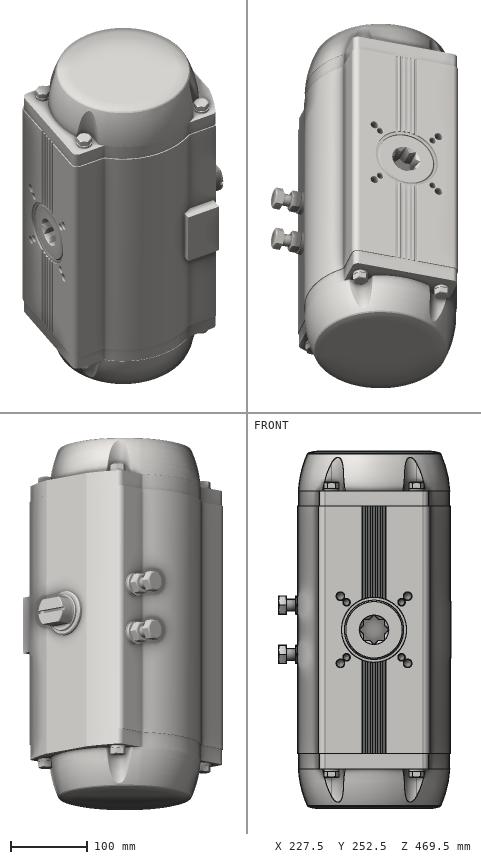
import cadquery as cq
import math

total_length = 469.5
half_length = total_length / 2

barrel_radius = 100.5
mount_face_y = -114.0
crown_flat_y = 108.5
crown_radius = 188.0
crown_center_y = -75.5
lower_half_width = 73.3
upper_half_width = 86.0
lower_corner_fillet = 9.0
upper_corner_fillet = 7.5
barrel_blend_radius = 6.0
housing_half_length = 162.5

flange_inset = 1.5
flange_outer_z = 182.5
dome_base_radius = 99.5
dome_mid_radius = 95.5
dome_mid_z = 209.5
dome_rim_radius = 88.0
dome_rim_z = 231.0
face_round_radius = 86.5
face_round_z = 232.5
dome_face_radius = 73.0
pocket_radius = 16.0
pocket_mouth_fillet = 4.5
pocket_reach = 56.5

upper_screw_x = 67.5
upper_screw_y = 80.0
lower_screw_x = 56.0
lower_screw_y = -89.5
cap_screw_diameter = 20.0
cap_screw_face_diameter = 16.5
cap_screw_collar_height = 3.5
cap_screw_head_height = 8.0

shaft_top_y = 138.5
tip_radius = 22.5
tip_flat_half_width = 16.5
tip_chamfer = 1.0
tip_flare_y = 120.0
tip_slot_width = 4.0
tip_slot_depth = 4.5
stem_radius = 24.0
stem_top_y = 117.0
stem_chamfer = 1.0
washer_radius = 29.0
washer_top_y = 113.5
washer_chamfer = 1.5
journal_radius = 39.0
journal_length = 19.0
journal_chamfer = 2.0
socket_square = 27.5
socket_depth = 28.0
socket_mouth_radius = 19.3
socket_mouth_depth = 4.0

spigot_radius = 42.5
spigot_depth = 2.5
groove_count = 5
groove_pitch = 6.5
groove_mouth_width = 4.5
groove_floor_width = 3.0
groove_depth = 2.0
outer_hole_offset = 44.0
outer_hole_diameter = 10.5
outer_hole_mouth_diameter = 11.5
inner_hole_offset = 36.0
inner_hole_diameter = 8.5
inner_hole_mouth_diameter = 10.0
mount_hole_depth = 14.0
drill_point_angle = 118.0

pad_outer_x = 101.5
pad_low_y = 41.5
pad_high_y = 88.0
pad_half_height = 37.0

stop_y = 68.0
stop_z = 32.5
stop_end_x = -126.0
stop_head_height = 11.0
stop_shank_diameter = 16.0
stop_inner_x = -56.5
stop_hex_diameter = 28.0
stop_hex_face_diameter = 22.5
stop_nut_outer_x = -103.5
stop_nut_inner_x = -91.0
stop_boss_diameter = 30.0
stop_boss_foot_diameter = 32.0
stop_boss_foot_height = 1.5

CHAMFER_SLOPE = math.tan(math.radians(30))


def cylinder_along_y(radius, y_start, y_end):
    """Cylinder on the shaft axis between two Y positions."""
    return cq.Workplane("XZ", origin=(0, y_end, 0)).circle(radius).extrude(y_end - y_start)


def cylinder_along_x(diameter, x_start, x_end, y, z):
    """Cylinder parallel to X between two X positions."""
    return cq.Workplane("YZ", origin=(x_start, y, z)).circle(diameter / 2).extrude(x_end - x_start)


def hexagon_head(corner_diameter, face_diameter, height, both_ends=False):
    """Hexagon standing on the XY plane, with 30-degree corner chamfers on top or on both ends."""
    corner_radius = corner_diameter / 2
    face_radius = face_diameter / 2
    bevel = (corner_radius - face_radius) * CHAMFER_SLOPE
    profile = cq.Workplane("XZ").moveTo(0, 0)
    if both_ends:
        profile = profile.lineTo(face_radius, 0).lineTo(corner_radius, bevel)
    else:
        profile = profile.lineTo(corner_radius, 0)
    turned = (
        profile.lineTo(corner_radius, height - bevel)
        .lineTo(face_radius, height)
        .lineTo(0, height)
        .close()
        .revolve(360, (0, 0), (0, 1))
    )
    return cq.Workplane("XY").polygon(6, corner_diameter).extrude(height).intersect(turned)


def body_prism(height, inset=0.0):
    """Body cross-section extruded up from the XY plane; the inset shrinks all of it but the crown."""
    lower_x = lower_half_width - inset
    upper_x = upper_half_width - inset
    bottom_y = mount_face_y + inset
    barrel = cq.Workplane("XY").circle(barrel_radius - inset).extrude(height)
    lower_block = (
        cq.Workplane("XY", origin=(0, bottom_y / 2, 0))
        .rect(2 * lower_x, -bottom_y)
        .extrude(height)
        .edges("|Z and <Y")
        .fillet(lower_corner_fillet - inset)
    )
    crown = cq.Workplane("XY", origin=(0, crown_center_y, 0)).circle(crown_radius).extrude(height)
    shoulders = cq.selectors.BoxSelector(
        (-upper_half_width, crown_flat_y / 2, 0),
        (upper_half_width, crown_flat_y - upper_corner_fillet, height),
    )
    upper_block = (
        cq.Workplane("XY", origin=(0, crown_flat_y / 2, 0))
        .rect(2 * upper_x, crown_flat_y)
        .extrude(height)
        .intersect(crown)
        .edges("|Z")
        .edges(shoulders)
        .fillet(upper_corner_fillet)
    )
    prism = barrel.union(lower_block).union(upper_block)

    barrel_corners = cq.selectors.BoxSelector(
        (-barrel_radius, mount_face_y + 2 * lower_corner_fillet, 0),
        (barrel_radius, crown_flat_y / 2 + upper_corner_fillet, height),
    )
    return prism.edges("|Z").edges(barrel_corners).fillet(barrel_blend_radius - inset)


def screw_positions():
    """X, Y of the four cap screws on one end."""
    return [
        (side * x, y)
        for side in (-1, 1)
        for x, y in ((upper_screw_x, upper_screw_y), (lower_screw_x, lower_screw_y))
    ]


def make_mount_hole(x, z, diameter, mouth_diameter):
    """Drilled hole cutter: chamfered mouth on the mounting face, pointed end inside."""
    radius = diameter / 2
    mouth_radius = mouth_diameter / 2
    point_length = radius / math.tan(math.radians(drill_point_angle / 2))
    return (
        cq.Workplane("XY", origin=(x, mount_face_y, z))
        .lineTo(mouth_radius, 0)
        .lineTo(radius, mouth_radius - radius)
        .lineTo(radius, mount_hole_depth)
        .lineTo(0, mount_hole_depth + point_length)
        .close()
        .revolve(360, (0, 0), (0, 1))
    )


def make_housing():
    height = 2 * housing_half_length
    body = body_prism(height).translate((0, 0, -housing_half_length))

    pad = cq.Workplane("XY").box(
        pad_outer_x, pad_high_y - pad_low_y, 2 * pad_half_height, centered=(False, False, True)
    )
    body = body.union(pad.translate((0, pad_low_y, 0)))

    for index in range(groove_count):
        x = (index - (groove_count - 1) / 2) * groove_pitch
        groove = (
            cq.Workplane("XY", origin=(x, mount_face_y, -housing_half_length))
            .moveTo(-groove_mouth_width / 2, 0)
            .lineTo(groove_mouth_width / 2, 0)
            .lineTo(groove_floor_width / 2, groove_depth)
            .lineTo(-groove_floor_width / 2, groove_depth)
            .close()
            .extrude(height)
        )
        body = body.cut(groove)

    spigot_floor_y = mount_face_y + spigot_depth
    body = body.cut(cylinder_along_y(spigot_radius, mount_face_y, spigot_floor_y))
    body = body.cut(cylinder_along_y(journal_radius, mount_face_y, spigot_floor_y + journal_length))
    body = body.cut(cylinder_along_y(stem_radius, mount_face_y, crown_flat_y))

    for x_side in (-1, 1):
        for z_side in (-1, 1):
            for offset, diameter, mouth in (
                (outer_hole_offset, outer_hole_diameter, outer_hole_mouth_diameter),
                (inner_hole_offset, inner_hole_diameter, inner_hole_mouth_diameter),
            ):
                body = body.cut(make_mount_hole(x_side * offset, z_side * offset, diameter, mouth))

    boss_foot_x = -upper_half_width - stop_boss_foot_height
    for z in (-stop_z, stop_z):
        body = body.union(
            cylinder_along_x(stop_boss_diameter, stop_nut_inner_x, -upper_half_width, stop_y, z)
        )
        body = body.union(
            cylinder_along_x(stop_boss_foot_diameter, boss_foot_x, -upper_half_width, stop_y, z)
        )
        body = body.cut(
            cylinder_along_x(stop_shank_diameter, stop_nut_inner_x, stop_inner_x, stop_y, z)
        )
    return body


def is_pocket_mouth(edge):
    """True for a vertical edge on the dome base circle, except the seam of the cylinder on the X axis."""
    center = edge.Center()
    on_circle = math.isclose(math.hypot(center.x, center.y), dome_base_radius, abs_tol=0.05)
    return on_circle and abs(center.y) > pocket_mouth_fillet


def make_dome():
    """Domed cover with a pocket beside each cap screw."""
    turned = (
        cq.Workplane("XZ")
        .moveTo(0, flange_outer_z)
        .lineTo(0, half_length)
        .lineTo(dome_face_radius, half_length)
        .tangentArcPoint((face_round_radius, face_round_z), relative=False)
        .lineTo(dome_rim_radius, dome_rim_z)
        .threePointArc((dome_mid_radius, dome_mid_z), (dome_base_radius, flange_outer_z))
        .close()
        .revolve(360, (0, 0), (0, 1))
    )
    dome_height = half_length - flange_outer_z
    outline = cq.Workplane("XY").circle(dome_base_radius).extrude(dome_height)
    for x, y in screw_positions():
        x_side = math.copysign(1, x)
        y_side = math.copysign(1, y)
        pocket = (
            cq.Workplane("XY")
            .center(
                x + x_side * (pocket_reach / 2 - pocket_radius),
                y + y_side * (pocket_reach / 2 - pocket_radius),
            )
            .rect(pocket_reach, pocket_reach)
            .extrude(dome_height)
            .edges(cq.selectors.NearestToPointSelector((0, 0, dome_height / 2)))
            .fillet(pocket_radius)
        )
        outline = outline.cut(pocket)

    mouth_edges = [edge for edge in outline.edges("|Z").vals() if is_pocket_mouth(edge)]
    outline = outline.newObject(mouth_edges).fillet(pocket_mouth_fillet)
    return turned.intersect(outline.translate((0, 0, flange_outer_z)))


def make_end_cap():
    """Upper end cap: flange, dome and the heads of its four screws."""
    flange_height = flange_outer_z - housing_half_length
    flange = body_prism(flange_height, flange_inset).translate((0, 0, housing_half_length))
    cap = flange.union(make_dome())
    head = hexagon_head(cap_screw_diameter, cap_screw_face_diameter, cap_screw_head_height)
    for x, y in screw_positions():
        collar = (
            cq.Workplane("XY", origin=(x, y, flange_outer_z))
            .circle(cap_screw_diameter / 2)
            .extrude(cap_screw_collar_height)
        )
        cap = cap.union(collar)
        cap = cap.union(head.translate((x, y, flange_outer_z + cap_screw_collar_height)))
    return cap


def make_shaft():
    journal_y = mount_face_y + spigot_depth
    shaft = (
        cylinder_along_y(journal_radius, journal_y, journal_y + journal_length)
        .faces("<Y")
        .chamfer(journal_chamfer)
    )
    stem = cylinder_along_y(stem_radius, journal_y, stem_top_y).faces(">Y").chamfer(stem_chamfer)
    washer = cylinder_along_y(washer_radius, crown_flat_y, washer_top_y).faces(">Y").chamfer(washer_chamfer)
    shaft = shaft.union(stem).union(washer)

    flare_radius = stem_radius - stem_chamfer
    tip = (
        cq.Workplane("XY")
        .moveTo(0, stem_top_y)
        .lineTo(flare_radius, stem_top_y)
        .lineTo(tip_radius, tip_flare_y)
        .lineTo(tip_radius, shaft_top_y - tip_chamfer)
        .lineTo(tip_radius - tip_chamfer, shaft_top_y)
        .lineTo(0, shaft_top_y)
        .close()
        .revolve(360, (0, 0), (0, 1))
    )
    tip_length = shaft_top_y - stem_top_y
    tip = tip.intersect(
        cq.Workplane("XY")
        .box(2 * stem_radius, tip_length, 2 * tip_flat_half_width)
        .translate((0, stem_top_y + tip_length / 2, 0))
    )
    slot = cq.Workplane("XY").box(2 * tip_radius, tip_slot_depth, tip_slot_width)
    tip = tip.cut(slot.translate((0, shaft_top_y - tip_slot_depth / 2, 0)))
    shaft = shaft.union(tip)

    for angle in (0, 45):
        square = (
            cq.Workplane("XZ", origin=(0, journal_y + socket_depth, 0))
            .transformed(rotate=(0, 0, angle))
            .rect(socket_square, socket_square)
            .extrude(socket_depth)
        )
        shaft = shaft.cut(square)
    socket_mouth = (
        cq.Workplane("XY", origin=(0, journal_y, 0))
        .lineTo(socket_mouth_radius, 0)
        .lineTo(socket_mouth_radius - socket_mouth_depth, socket_mouth_depth)
        .lineTo(0, socket_mouth_depth)
        .close()
        .revolve(360, (0, 0), (0, 1))
    )
    shaft = shaft.cut(socket_mouth)
    return shaft


def outward_location(x, z):
    """Frame on a travel stop axis whose local Z points to -X and local X to +Y."""
    return cq.Location(cq.Plane(origin=(x, stop_y, z), xDir=(0, 1, 0), normal=(-1, 0, 0)))


def make_stop_screw(z):
    head_inner_x = stop_end_x + stop_head_height
    head = hexagon_head(stop_hex_diameter, stop_hex_face_diameter, stop_head_height)
    shank = cylinder_along_x(stop_shank_diameter, head_inner_x, stop_inner_x, stop_y, z)
    return shank.union(cq.Workplane(head.val().moved(outward_location(head_inner_x, z))))


def make_stop_nut(z):
    height = stop_nut_inner_x - stop_nut_outer_x
    nut = hexagon_head(stop_hex_diameter, stop_hex_face_diameter, height, both_ends=True)
    nut = nut.cut(cq.Workplane("XY").circle(stop_shank_diameter / 2).extrude(height))
    return cq.Workplane(nut.val().moved(outward_location(stop_nut_inner_x, z)))


housing = make_housing()
upper_cap = make_end_cap()
lower_cap = upper_cap.mirror("XY")
shaft = make_shaft()
stop_screws = [make_stop_screw(z) for z in (-stop_z, stop_z)]
stop_nuts = [make_stop_nut(z) for z in (-stop_z, stop_z)]

result = cq.Compound.makeCompound(
    [
        housing.val(),
        upper_cap.val(),
        lower_cap.val(),
        shaft.val(),
        *[screw.val() for screw in stop_screws],
        *[nut.val() for nut in stop_nuts],
    ]
)